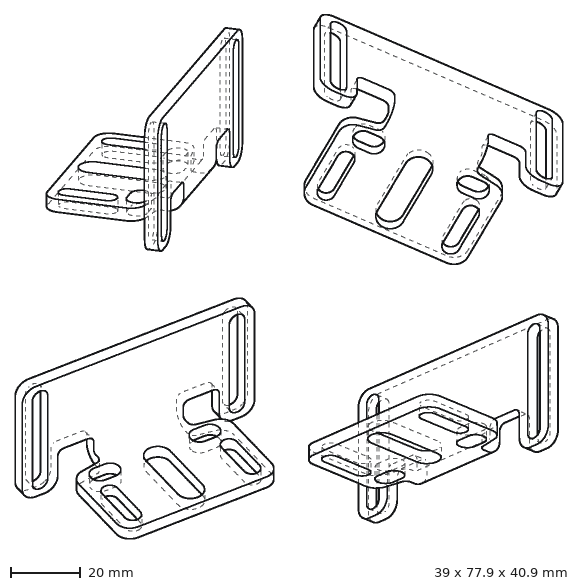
import cadquery as cq
import math

thickness = 4.0
inner_bend_radius = 1.0
outer_bend_radius = inner_bend_radius + thickness
corner_radius = 4.5
relief_radius = 2.0
tab_half_width = 15.0

plate_back_x = 39.0
plate_front_x = plate_back_x - thickness
plate_width = 77.9
plate_height = 40.9
plate_bottom_z = -3.95
plate_top_z = plate_bottom_z + plate_height
plate_mid_z = (plate_bottom_z + plate_top_z) / 2
leg_width = 11.9
leg_inner_y = plate_width / 2 - leg_width
leg_center_y = plate_width / 2 - leg_width / 2
notch_top_z = 10.0
plate_slot_length = 36.1
plate_slot_width = 5.1

flange_half_width = 26.0
flange_shoulder_x = 29.05
taper_angle = 10.0
taper_run = (flange_half_width - tab_half_width) * math.tan(math.radians(taper_angle))
neck_x = flange_shoulder_x + taper_run

side_slot_x = 11.75
side_slot_y = 20.0
side_slot_length = 17.6
side_slot_width = plate_slot_width
center_slot_x = 15.5
center_slot_length = 26.0
center_slot_width = 8.2
cross_slot_x = 26.0
cross_slot_y = 16.75
cross_slot_length = 9.6
cross_slot_width = 6.1


def make_bend():
    """Quarter-ring strip joining the flange to the plate."""
    axis_x = plate_back_x - outer_bend_radius
    axis_z = outer_bend_radius
    diagonal = math.sqrt(0.5)
    return (
        cq.Workplane("XZ")
        .moveTo(axis_x, 0)
        .threePointArc(
            (axis_x + outer_bend_radius * diagonal, axis_z - outer_bend_radius * diagonal),
            (plate_back_x, axis_z),
        )
        .lineTo(plate_front_x, axis_z)
        .threePointArc(
            (axis_x + inner_bend_radius * diagonal, axis_z - inner_bend_radius * diagonal),
            (axis_x, thickness),
        )
        .close()
        .extrude(tab_half_width, both=True)
    )


def make_flange():
    """Flange that tapers in to the bend tab, with its five slots."""
    bend_start_x = plate_back_x - outer_bend_radius
    half_outline = [
        (0, flange_half_width),
        (flange_shoulder_x, flange_half_width),
        (neck_x, tab_half_width),
        (bend_start_x, tab_half_width),
    ]
    mirrored_half = [(x, -y) for x, y in reversed(half_outline)]
    flange = cq.Workplane("XY").polyline(half_outline + mirrored_half).close().extrude(thickness)

    for side in (-1, 1):
        for x in (0, flange_shoulder_x):
            flange = round_flange_edge(flange, x, side * flange_half_width, corner_radius)
        flange = round_flange_edge(flange, neck_x, side * tab_half_width, relief_radius)

    center_slot = cq.Workplane("XY").center(center_slot_x, 0).slot2D(center_slot_length, center_slot_width)
    flange = flange.cut(center_slot.extrude(thickness))
    side_slots = (
        cq.Workplane("XY")
        .pushPoints([(side_slot_x, side * side_slot_y) for side in (-1, 1)])
        .slot2D(side_slot_length, side_slot_width)
        .extrude(thickness)
    )
    cross_slots = (
        cq.Workplane("XY")
        .pushPoints([(cross_slot_x, side * cross_slot_y) for side in (-1, 1)])
        .slot2D(cross_slot_length, cross_slot_width, 90)
        .extrude(thickness)
    )
    return flange.cut(side_slots).cut(cross_slots)


def round_flange_edge(flange, x, y, radius):
    """Round the vertical flange edge that stands at (x, y)."""
    return flange.edges(cq.selectors.NearestToPointSelector((x, y, thickness / 2))).fillet(radius)


def make_plate():
    """Vertical plate with a slotted leg on each side and a tab down to the bend."""
    plate_plane = cq.Workplane("YZ", origin=(plate_front_x, 0, 0))
    half_outline = [
        (plate_width / 2, plate_top_z),
        (plate_width / 2, plate_bottom_z),
        (leg_inner_y, plate_bottom_z),
        (leg_inner_y, notch_top_z),
        (tab_half_width, notch_top_z),
        (tab_half_width, outer_bend_radius),
    ]
    mirrored_half = [(-y, z) for y, z in reversed(half_outline)]
    plate = plate_plane.polyline(half_outline + mirrored_half).close().extrude(thickness)

    for side in (-1, 1):
        for y, z in half_outline[:3]:
            plate = round_plate_edge(plate, side * y, z, corner_radius)
        for y, z in half_outline[3:5]:
            plate = round_plate_edge(plate, side * y, z, relief_radius)

    slots = (
        plate_plane
        .pushPoints([(side * leg_center_y, plate_mid_z) for side in (-1, 1)])
        .slot2D(plate_slot_length, plate_slot_width, 90)
        .extrude(thickness)
    )
    return plate.cut(slots)


def round_plate_edge(plate, y, z, radius):
    """Round the plate edge that runs along X at (y, z)."""
    middle = (plate_front_x + thickness / 2, y, z)
    return plate.edges(cq.selectors.NearestToPointSelector(middle)).fillet(radius)


result = make_flange().union(make_bend()).union(make_plate()).clean()